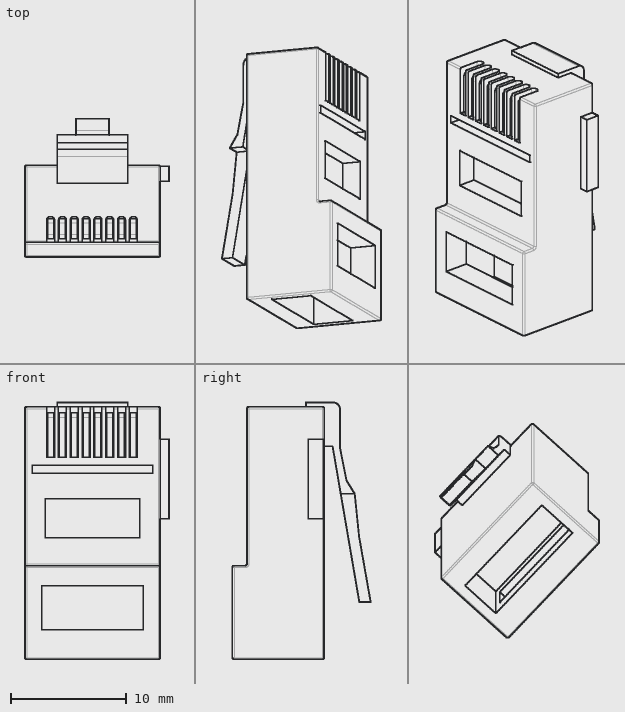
import cadquery as cq


body_width = 11.68
body_depth = 7.94
body_top = 21.8
foot_height = 8.1
front_step = 1.26
edge_radius = 0.15

bar_slot_width, bar_slot_bottom, bar_slot_top = 10.42, 16.07, 16.75
upper_window_width, upper_window_bottom, upper_window_top = 8.11, 10.5, 13.83
lower_window_width, lower_window_bottom, lower_window_top = 8.73, 2.55, 6.35
upper_pocket_depth = 1.65

cavity_width = 9.73
cavity_front = 2.3
cavity_back = 5.92

contact_count = 8
contact_pitch = 1.02
contact_offset = -0.05
channel_width = 0.69
channel_floor = 17.45
channel_back = 3.5
blade_width = 0.5
blade_front = 1.6
blade_back = 3.33
blade_top = 21.28
blade_radius = 0.38

latch_width = 6.1
tail_width = 2.88
latch_top = 22.17
latch_lip_front = 6.36
latch_root_back = 9.31
latch_root_bottom = 18.38
latch_corner_radius = 0.62
arm_inner_top_y = 8.65
arm_outer_top_z = 18.22
arm_neck = (9.87, 15.43)
tail_shoulder = (10.58, 14.28)
tail_bend = (10.95, 10.6)
tail_tip_back = 11.95
tail_tip_front = 10.95
tail_bottom = 4.95

tab_reach = 0.78
tab_front, tab_back = 6.55, 7.85
tab_bottom, tab_top = 12.13, 19.0


def block(x_range, y_range, z_range):
    """Box between the given limits."""
    (x0, x1), (y0, y1), (z0, z1) = x_range, y_range, z_range
    return cq.Workplane("XY").box(x1 - x0, y1 - y0, z1 - z0, centered=False).translate((x0, y0, z0))


def centered_block(width, y_range, z_range):
    """Box between the given limits, centred across the body."""
    return block((-width / 2, width / 2), y_range, z_range)


def make_body():
    """Stepped housing with every edge rounded."""
    outline = [
        (0, 0),
        (body_depth, 0),
        (body_depth, body_top),
        (front_step, body_top),
        (front_step, foot_height),
        (0, foot_height),
    ]
    housing = cq.Workplane("YZ").polyline(outline).close().extrude(body_width / 2, both=True)
    return housing.edges().fillet(edge_radius)


def make_front_openings():
    """Blind slot and window above the step, and the lower window with the cable cavity behind it."""
    pocket_y = (front_step, front_step + upper_pocket_depth)
    bar_slot = centered_block(bar_slot_width, pocket_y, (bar_slot_bottom, bar_slot_top))
    upper_window = centered_block(upper_window_width, pocket_y, (upper_window_bottom, upper_window_top))
    lower_window = centered_block(
        lower_window_width, (0, cavity_front), (lower_window_bottom, lower_window_top)
    )
    cavity = centered_block(cavity_width, (cavity_front, cavity_back), (0, foot_height))
    return bar_slot.union(upper_window).union(lower_window.union(cavity))


def make_channel():
    """Contact channel, open at the front and top, with a round back end."""
    round_center = channel_back - channel_width / 2
    channel_z = (channel_floor, body_top)
    straight = centered_block(channel_width, (front_step, round_center), channel_z)
    round_end = (
        cq.Workplane("XY", origin=(0, round_center, channel_floor))
        .circle(channel_width / 2)
        .extrude(body_top - channel_floor)
    )
    return straight.union(round_end)


def make_blade():
    """Contact blade standing on the channel floor, with rounded upper corners."""
    blade = centered_block(blade_width, (blade_front, blade_back), (channel_floor, blade_top))
    return blade.edges("|X and >Z").fillet(blade_radius)


def tail_inner_y(z):
    """Y of the straight inner face of the arm and tail at height z."""
    slope = (tail_tip_front - arm_inner_top_y) / (latch_root_bottom - tail_bottom)
    return arm_inner_top_y + slope * (latch_root_bottom - z)


def extrude_across(outline, width):
    """Y-Z outline made into a solid centred across the body."""
    return cq.Workplane("YZ").polyline(outline).close().extrude(width / 2, both=True)


def make_latch():
    """Wide root hooked over the top of the body, thin arm, and narrower tail."""
    shoulder_z = tail_shoulder[1]
    shoulder_inner = (tail_inner_y(shoulder_z), shoulder_z)
    root_outline = [
        (latch_lip_front, latch_top),
        (latch_root_back, latch_top),
        (latch_root_back, arm_outer_top_z),
        arm_neck,
        tail_shoulder,
        shoulder_inner,
        (arm_inner_top_y, latch_root_bottom),
        (latch_lip_front, latch_root_bottom),
    ]
    root = extrude_across(root_outline, latch_width)
    root = root.edges("|X and >Z").edges(">Y").fillet(latch_corner_radius)

    tail_outline = [
        tail_shoulder,
        tail_bend,
        (tail_tip_back, tail_bottom),
        (tail_tip_front, tail_bottom),
        shoulder_inner,
    ]
    return root.union(extrude_across(tail_outline, tail_width))


def make_side_tab():
    """Rectangular tab on the +X side."""
    tab_x = (0.0, body_width / 2 + tab_reach)
    return block(tab_x, (tab_front, tab_back), (tab_bottom, tab_top))


result = make_body().union(make_side_tab()).union(make_latch()).cut(make_front_openings())

channel = make_channel()
blade = make_blade()
for index in range(contact_count):
    contact_x = contact_offset + (index - (contact_count - 1) / 2) * contact_pitch
    result = result.cut(channel.translate((contact_x, 0, 0)))
    result = result.union(blade.translate((contact_x, 0, 0)))